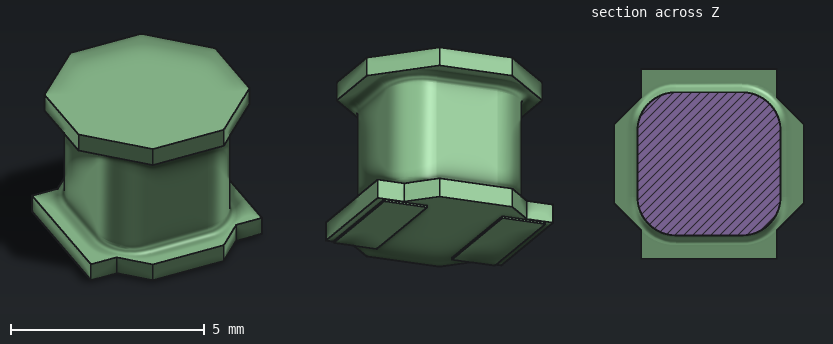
import cadquery as cq
import math

width = 4.9
total_height = 4.15

pad_thickness = 0.05
pad_length_x = 3.4
pad_length_y = 1.2
pad_edge_margin = 0.2

flange_thickness = 0.5
flange_corner_cut = width / (2 + math.sqrt(2))
terminal_block_width = 3.5

core_width = 3.7
core_corner_radius = 1.0
core_fillet_radius = 0.25

lower_flange_top = pad_thickness + flange_thickness
upper_flange_bottom = total_height - flange_thickness
core_height = upper_flange_bottom - lower_flange_top
core_middle = lower_flange_top + core_height / 2
half_spool_height = core_middle - pad_thickness


def block(size_x, size_y, bottom_z, height):
    """Rectangular block centred on the Z axis."""
    return cq.Workplane("XY", origin=(0, 0, bottom_z)).rect(size_x, size_y).extrude(height)


def square_spool():
    """Rounded core between two square plates, filleted where it meets them."""
    core = block(core_width, core_width, lower_flange_top, core_height)
    core = core.edges("|Z").fillet(core_corner_radius)
    lower_plate = block(width, width, pad_thickness, flange_thickness)
    upper_plate = block(width, width, upper_flange_bottom, flange_thickness)
    spool = lower_plate.union(core).union(upper_plate)

    half_span = (core_width + core_fillet_radius) / 2
    core_edges = cq.selectors.BoxSelector(
        (-half_span, -half_span, pad_thickness),
        (half_span, half_span, total_height),
    )
    return spool.edges(core_edges).edges("not |Z").fillet(core_fillet_radius)


def octagon_prism(bottom_z, height):
    """Regular octagonal prism with flats facing X and Y."""
    return block(width, width, bottom_z, height).edges("|Z").chamfer(flange_corner_cut)


def flange_envelope():
    """Octagon over the full height, widened below by the block that carries the terminals."""
    octagon = octagon_prism(pad_thickness, 2 * half_spool_height)
    terminal_block = block(terminal_block_width, width, pad_thickness, half_spool_height)
    return octagon.union(terminal_block)


def terminal_pads():
    """Two thin solder pads, one near each Y end of the underside."""
    pad_center_y = width / 2 - pad_edge_margin - pad_length_y / 2
    return (
        cq.Workplane("XY")
        .pushPoints([(0, -pad_center_y), (0, pad_center_y)])
        .rect(pad_length_x, pad_length_y)
        .extrude(pad_thickness)
    )


result = square_spool().intersect(flange_envelope()).union(terminal_pads())